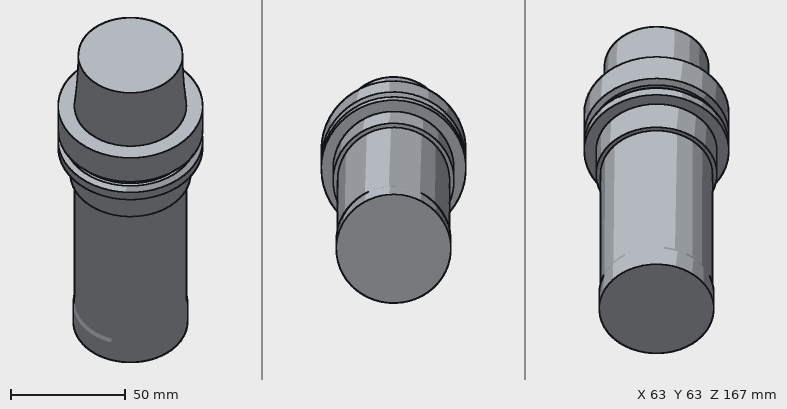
import cadquery as cq
import math

base_radius = 50.0 / 2
shank_radius = 48.8 / 2
collar_radius = 52.6 / 2
flange_radius = 63.0 / 2
groove_radius = 55.0 / 2
nose_bottom_radius = 48.8 / 2
nose_top_radius = 45.5 / 2

base_land_top = 11.0
base_top = 13.0
collar_bottom = 93.0
flange_bottom = 109.0
groove_bottom = 115.0
groove_top = 118.9
flange_top = 135.3
total_height = 167.0

lip_width = 2.5
lip_angle = 30
lip_height = lip_width * math.tan(math.radians(lip_angle))

nose_height = total_height - flange_top
nose_flare = nose_bottom_radius - nose_top_radius
flare_radius = (nose_height**2 + nose_flare**2) / (2 * nose_flare)
half_height = nose_height / 2
flare_at_half = flare_radius - math.sqrt(flare_radius**2 - half_height**2)
nose_middle = (nose_top_radius + flare_at_half, flange_top + half_height)

half_section = (
    cq.Workplane("XZ")
    .moveTo(0, 0)
    .lineTo(base_radius, 0)
    .lineTo(base_radius, base_land_top)
    .lineTo(shank_radius, base_top)
    .lineTo(shank_radius, collar_bottom)
    .lineTo(collar_radius, collar_bottom)
    .lineTo(collar_radius, flange_bottom)
    .lineTo(flange_radius, flange_bottom)
    .lineTo(flange_radius, groove_bottom - lip_height)
    .lineTo(flange_radius - lip_width, groove_bottom)
    .lineTo(groove_radius, groove_bottom)
    .lineTo(groove_radius, groove_top)
    .lineTo(flange_radius - lip_width, groove_top)
    .lineTo(flange_radius, groove_top + lip_height)
    .lineTo(flange_radius, flange_top)
    .lineTo(nose_bottom_radius, flange_top)
    .threePointArc(nose_middle, (nose_top_radius, total_height))
    .lineTo(0, total_height)
    .close()
)

result = half_section.revolve(360, (0, 0, 0), (0, 1, 0))